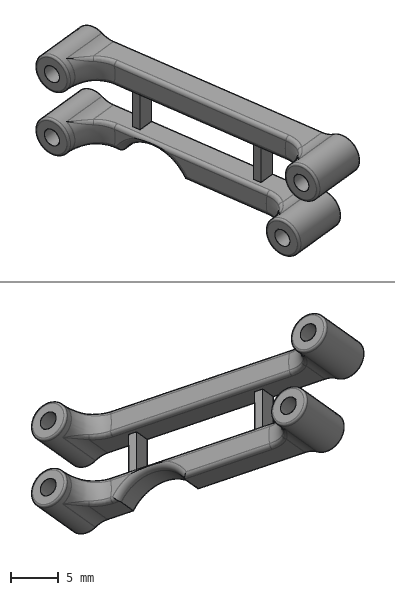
import cadquery as cq
import math

overall_length = 37.5
depth = 7.0
boss_radius = 2.25
hole_diameter = 2.0
boss_edge_round = 0.25
link_spacing = 8.0
lower_link_length = 35.0

bar_height = 3.0
bar_depth = 3.0
blend_radius = 3.0
bar_edge_round = 0.5

arch_center_x = 12.35
arch_radius = 4.88
arch_roof = 0.75
arch_edge_round = 0.75

strut_width = 1.0
strut_depth = 2.0
strut_centers_x = (9.5, 25.5)

half_height = bar_height / 2
blend_center_z = half_height + blend_radius
blend_offset_x = math.sqrt((boss_radius + blend_radius) ** 2 - blend_center_z**2)
tangent_ratio = boss_radius / (boss_radius + blend_radius)
tangent_x = blend_offset_x * tangent_ratio
tangent_z = blend_center_z * tangent_ratio
web_depth = bar_depth + blend_radius
edge_margin = 0.05


def blend_midpoint(boss_x, side, vertical):
    """Point halfway along a concave arc between a boss and the bar."""
    start_angle = math.atan2(-blend_center_z, -blend_offset_x)
    angle = (start_angle - math.pi / 2) / 2
    x = boss_x + side * (blend_offset_x + blend_radius * math.cos(angle))
    z = vertical * (blend_center_z + blend_radius * math.sin(angle))
    return (x, z)


def link_web(left_x, right_x, thickness):
    """Bar flaring tangentially into both bosses, with a flat front."""
    return (
        cq.Workplane("XZ")
        .moveTo(left_x, tangent_z)
        .lineTo(left_x + tangent_x, tangent_z)
        .threePointArc(blend_midpoint(left_x, 1, 1), (left_x + blend_offset_x, half_height))
        .lineTo(right_x - blend_offset_x, half_height)
        .threePointArc(blend_midpoint(right_x, -1, 1), (right_x - tangent_x, tangent_z))
        .lineTo(right_x, tangent_z)
        .lineTo(right_x, -tangent_z)
        .lineTo(right_x - tangent_x, -tangent_z)
        .threePointArc(blend_midpoint(right_x, -1, -1), (right_x - blend_offset_x, -half_height))
        .lineTo(left_x + blend_offset_x, -half_height)
        .threePointArc(blend_midpoint(left_x, 1, -1), (left_x + tangent_x, -tangent_z))
        .lineTo(left_x, -tangent_z)
        .close()
        .extrude(thickness)
    )


def boss_flare(center_x):
    """Trumpet-shaped foot that curves from the bar front up along a boss."""
    flare_radius = boss_radius + blend_radius
    arc_reach = blend_radius * math.sqrt(0.5)
    return (
        cq.Workplane("XY")
        .lineTo(flare_radius, 0)
        .lineTo(flare_radius, -bar_depth)
        .threePointArc(
            (flare_radius - arc_reach, -web_depth + arc_reach),
            (boss_radius, -web_depth),
        )
        .lineTo(0, -web_depth)
        .close()
        .revolve(360, (0, 0), (0, 1))
        .translate((center_x, 0, 0))
    )


def arch_cutter():
    """Round relief under the lower bar, flaring out to round its front edge."""
    flare_radius = arch_radius + arch_edge_round
    flare_start = bar_depth - arch_edge_round
    arc_reach = arch_edge_round * math.sqrt(0.5)
    center_z = half_height - arch_roof - arch_radius
    return (
        cq.Workplane("XY")
        .lineTo(arch_radius, 0)
        .lineTo(arch_radius, -flare_start)
        .threePointArc(
            (flare_radius - arc_reach, -flare_start - arc_reach),
            (flare_radius, -bar_depth),
        )
        .lineTo(0, -bar_depth)
        .close()
        .revolve(360, (0, 0), (0, 1))
        .translate((arch_center_x, 0, center_z))
    )


def boss(center_x):
    return (
        cq.Workplane("XZ")
        .center(center_x, 0)
        .circle(boss_radius)
        .extrude(depth)
        .faces("<Y")
        .edges()
        .fillet(boss_edge_round)
    )


def link(length, arched):
    left_x = boss_radius
    right_x = length - boss_radius
    body = link_web(left_x, right_x, bar_depth)
    deep_web = link_web(left_x, right_x, web_depth)
    for center_x in (left_x, right_x):
        body = body.union(deep_web.intersect(boss_flare(center_x)))
        body = body.union(boss(center_x))
    for edge_z in (-half_height, half_height):
        level_edges = cq.selectors.BoxSelector(
            (left_x, -bar_depth - blend_radius / 4, edge_z - edge_margin),
            (right_x, -bar_depth + edge_margin, edge_z + edge_margin),
        )
        body = body.edges(level_edges).fillet(bar_edge_round)
    if arched:
        body = body.cut(arch_cutter())
    holes = (
        cq.Workplane("XZ")
        .pushPoints([(left_x, 0), (right_x, 0)])
        .circle(hole_diameter / 2)
        .extrude(depth)
    )
    return body.cut(holes)


upper_link = link(overall_length, arched=False).translate((0, 0, link_spacing))
result = link(lower_link_length, arched=True).union(upper_link)

strut_height = link_spacing - bar_height
for center_x in strut_centers_x:
    strut = cq.Workplane("XY").box(strut_width, strut_depth, strut_height)
    result = result.union(strut.translate((center_x, -strut_depth / 2, link_spacing / 2)))